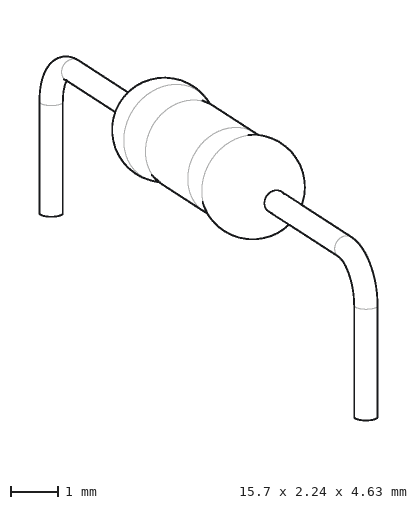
import cadquery as cq
import math

overall_length = 15.74
lead_diameter = 0.5
bend_radius = 1.0
lead_drop = 3.51
body_length = 6.5
bulb_diameter = 2.24
waist_diameter = 2.0
waist_length = 2.05
cone_end = 1.89
flare_sag = 0.06

lead_x = (overall_length - lead_diameter) / 2
bulb_radius = bulb_diameter / 2
waist_radius = waist_diameter / 2
waist_end = waist_length / 2
body_end = body_length / 2
bulb_center = body_end - bulb_radius
flare_radius = math.sqrt(bulb_radius**2 - (bulb_center - cone_end) ** 2)
flare_mid = ((waist_end + cone_end) / 2, (waist_radius + flare_radius) / 2 - flare_sag)


def make_body():
    """Revolved dumbbell: spherical bulbs flaring into a cylindrical waist."""
    profile = (
        cq.Workplane("XY")
        .moveTo(-body_end, 0)
        .threePointArc((-bulb_center, bulb_radius), (-cone_end, flare_radius))
        .threePointArc((-flare_mid[0], flare_mid[1]), (-waist_end, waist_radius))
        .lineTo(waist_end, waist_radius)
        .threePointArc(flare_mid, (cone_end, flare_radius))
        .threePointArc((bulb_center, bulb_radius), (body_end, 0))
        .close()
    )
    return profile.revolve(360, (0, 0, 0), (1, 0, 0))


def make_lead():
    """One round wire running through the body and bent down at both ends."""
    bend_x = lead_x - bend_radius
    bend_offset = bend_radius * math.sin(math.radians(45))
    bend_mid = (bend_x + bend_offset, bend_offset - bend_radius)
    path = (
        cq.Workplane("XZ")
        .moveTo(-lead_x, -lead_drop)
        .lineTo(-lead_x, -bend_radius)
        .threePointArc((-bend_mid[0], bend_mid[1]), (-bend_x, 0))
        .lineTo(bend_x, 0)
        .threePointArc(bend_mid, (lead_x, -bend_radius))
        .lineTo(lead_x, -lead_drop)
    )
    section = cq.Workplane("XY", origin=(-lead_x, 0, -lead_drop)).circle(lead_diameter / 2)
    return section.sweep(path)


result = make_body().union(make_lead())